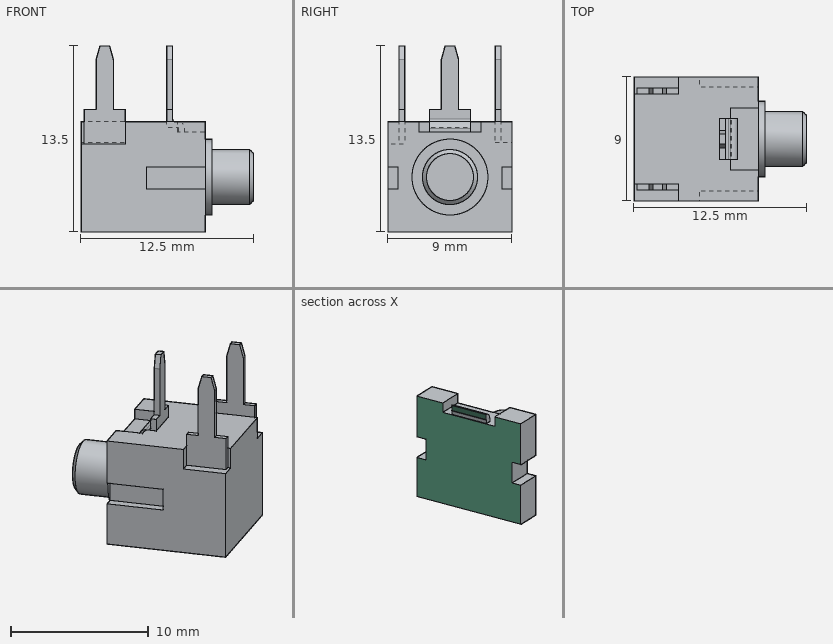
import cadquery as cq

HOUSING_SIDE = 9.0
HOUSING_HEIGHT = 8.0
OVERALL_HEIGHT = 13.5
OVERALL_LENGTH = 12.5
HALF_SIDE = HOUSING_SIDE / 2

PLATE_THICKNESS = 0.43
BASE_WIDTH = 2.98
BASE_RISE = 0.89
BLADE_WIDTH = 1.27
TIP_WIDTH = 0.72
TIP_HEIGHT = 1.0

POCKET_LENGTH = 3.2
POCKET_WIDTH = 1.23
FRONT_POCKET_DEPTH = 1.6
BACK_POCKET_DEPTH = 1.51
POCKETS = ((-1, FRONT_POCKET_DEPTH), (1, BACK_POCKET_DEPTH))

RECESS_START = 6.99
RECESS_WIDTH = 4.5
RECESS_DEPTH = 0.74

GROOVE_LENGTH = 4.27
GROOVE_BOTTOM = 3.13
GROOVE_HEIGHT = 1.6
GROOVE_DEPTH = 0.74

CENTRE_PLATE_START = 6.2
CENTRE_PLATE_END = CENTRE_PLATE_START + PLATE_THICKNESS
BEND_RADIUS = 0.19
FOOT_BEND_RADIUS = 0.5
FOOT_END = RECESS_START + FOOT_BEND_RADIUS

BUSHING_AXIS_HEIGHT = 4.0
COLLAR_RADIUS = 2.75
COLLAR_LENGTH = 0.49
SLEEVE_RADIUS = 2.0
BUSHING_LENGTH = OVERALL_LENGTH - HOUSING_SIDE
SLEEVE_END_CHAMFER = 0.3


def block(x_start, x_end, y_start, y_end, z_start, z_end):
    """Box given by its limits along each axis."""
    return cq.Workplane("XY").box(
        x_end - x_start, y_end - y_start, z_end - z_start, centered=False
    ).translate((x_start, y_start, z_start))


def make_blade(bottom):
    """Flat stepped blade with a tapered tip, centred in X and Y, wide along X."""
    half_base = BASE_WIDTH / 2
    half_blade = BLADE_WIDTH / 2
    half_tip = TIP_WIDTH / 2
    shoulder = HOUSING_HEIGHT + BASE_RISE
    taper_start = OVERALL_HEIGHT - TIP_HEIGHT
    outline = [
        (-half_base, bottom),
        (half_base, bottom),
        (half_base, shoulder),
        (half_blade, shoulder),
        (half_blade, taper_start),
        (half_tip, OVERALL_HEIGHT),
        (-half_tip, OVERALL_HEIGHT),
        (-half_blade, taper_start),
        (-half_blade, shoulder),
        (-half_base, shoulder),
    ]
    return cq.Workplane("XZ").polyline(outline).close().extrude(PLATE_THICKNESS / 2, both=True)


def make_side_terminal(side, pocket_depth):
    """Terminal standing on a pocket floor, against the pocket's inner wall."""
    x_centre = POCKET_LENGTH - BASE_WIDTH / 2
    y_centre = side * (HALF_SIDE - POCKET_WIDTH + PLATE_THICKNESS / 2)
    return make_blade(HOUSING_HEIGHT - pocket_depth).translate((x_centre, y_centre, 0))


def make_centre_terminal():
    """Terminal across the housing, with a foot bent towards the bushing and then down."""
    blade = make_blade(HOUSING_HEIGHT - PLATE_THICKNESS).rotate((0, 0, 0), (0, 0, 1), 90)
    blade = blade.translate((CENTRE_PLATE_START + PLATE_THICKNESS / 2, 0, 0))
    foot_underside = HOUSING_HEIGHT - PLATE_THICKNESS
    inner_bend_radius = FOOT_BEND_RADIUS - PLATE_THICKNESS
    recess_floor = HOUSING_HEIGHT - RECESS_DEPTH
    foot = (
        cq.Workplane("XZ")
        .moveTo(CENTRE_PLATE_START, foot_underside)
        .lineTo(RECESS_START, foot_underside)
        .radiusArc((RECESS_START + inner_bend_radius, foot_underside - inner_bend_radius), inner_bend_radius)
        .lineTo(RECESS_START + inner_bend_radius, recess_floor)
        .lineTo(FOOT_END, recess_floor)
        .lineTo(FOOT_END, HOUSING_HEIGHT - FOOT_BEND_RADIUS)
        .radiusArc((RECESS_START, HOUSING_HEIGHT), -FOOT_BEND_RADIUS)
        .lineTo(CENTRE_PLATE_END + BEND_RADIUS, HOUSING_HEIGHT)
        .radiusArc((CENTRE_PLATE_END, HOUSING_HEIGHT + BEND_RADIUS), BEND_RADIUS)
        .lineTo(CENTRE_PLATE_START, HOUSING_HEIGHT + BEND_RADIUS)
        .close()
        .extrude(BASE_WIDTH / 2, both=True)
    )
    return blade.union(foot)


def make_housing():
    housing = block(0, HOUSING_SIDE, -HALF_SIDE, HALF_SIDE, 0, HOUSING_HEIGHT)
    for side, depth in POCKETS:
        y_inner, y_outer = HALF_SIDE - POCKET_WIDTH, HALF_SIDE
        y_start, y_end = sorted((side * y_inner, side * y_outer))
        housing = housing.cut(
            block(0, POCKET_LENGTH, y_start, y_end, HOUSING_HEIGHT - depth, HOUSING_HEIGHT)
        )
        y_start, y_end = sorted((side * (HALF_SIDE - GROOVE_DEPTH), side * HALF_SIDE))
        housing = housing.cut(
            block(
                HOUSING_SIDE - GROOVE_LENGTH, HOUSING_SIDE,
                y_start, y_end,
                GROOVE_BOTTOM, GROOVE_BOTTOM + GROOVE_HEIGHT,
            )
        )
    recess = block(
        RECESS_START, HOUSING_SIDE,
        -RECESS_WIDTH / 2, RECESS_WIDTH / 2,
        HOUSING_HEIGHT - RECESS_DEPTH, HOUSING_HEIGHT,
    )
    foot_seat = block(
        CENTRE_PLATE_START, RECESS_START,
        -BASE_WIDTH / 2, BASE_WIDTH / 2,
        HOUSING_HEIGHT - PLATE_THICKNESS, HOUSING_HEIGHT,
    )
    return housing.cut(recess).cut(foot_seat)


def make_bushing():
    """Round collar against the housing with a narrower sleeve."""
    return (
        cq.Workplane("YZ", origin=(HOUSING_SIDE, 0, BUSHING_AXIS_HEIGHT))
        .circle(COLLAR_RADIUS)
        .extrude(COLLAR_LENGTH)
        .faces(">X")
        .workplane()
        .circle(SLEEVE_RADIUS)
        .extrude(BUSHING_LENGTH - COLLAR_LENGTH)
        .faces(">X")
        .edges()
        .chamfer(SLEEVE_END_CHAMFER)
    )


housing = make_housing()
bushing = make_bushing()
centre_terminal = make_centre_terminal()
side_terminals = [make_side_terminal(side, depth) for side, depth in POCKETS]

result = cq.Compound.makeCompound([
    housing.val(),
    bushing.val(),
    centre_terminal.val(),
    *[terminal.val() for terminal in side_terminals],
])